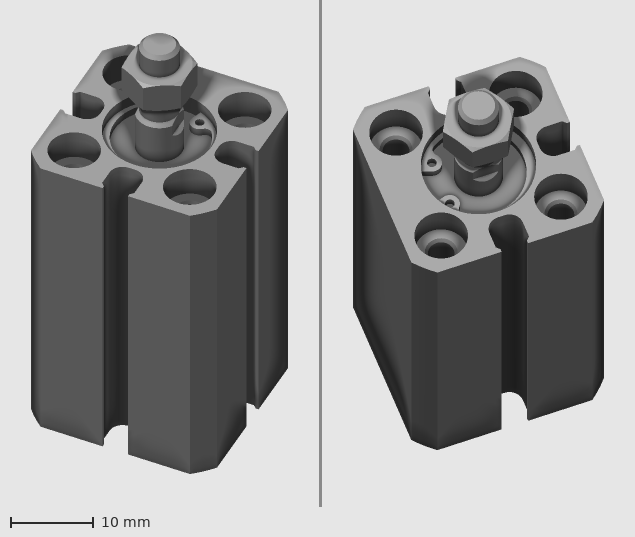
import cadquery as cq
import math

HOUSING_WIDTH = 25.0
HOUSING_HEIGHT = 42.0
CORNER_DIAMETER = 32.05

SLOT_DIRECTIONS = (180, 0, 270)
SLOT_WIDTH = 4.3
SLOT_MOUTH_WIDTH = 3.4
SLOT_DEPTH = 4.7
SLOT_LIP = 0.4
SLOT_BOTTOM_FILLET = 1.75

HOLE_PITCH = 15.5
HOLE_DIAMETER = 3.25
HOLE_CHAMFER_DIAMETER = 4.0
COUNTERBORE_DIAMETER = 6.5
COUNTERBORE_DEPTH = 4.0

RECESS_DIAMETER = 14.0
RECESS_DEPTH = 2.5
RING_THICKNESS = 1.0
RING_INNER_RADIUS = 6.2
RING_INNER_OFFSET = 0.4
RING_GAP_HALF_ANGLE = 20.0
EAR_X = 3.1
EAR_Y = 4.9
EAR_HOLE_DIAMETER = 1.2
EAR_RELIEF_RADIUS = 0.85

TOTAL_HEIGHT = 56.0
ROD_DIAMETER = 6.0
THREAD_DIAMETER = 5.0
THREAD_LENGTH = 10.5
THREAD_TIP_DIAMETER = 4.05
THREAD_TIP_CHAMFER = 0.5
FLAT_SPACING = 5.0
FLAT_LENGTH = 2.1

NUT_ACROSS_FLATS = 8.0
NUT_HEIGHT = 4.1
NUT_TOP_GAP = 3.2
NUT_CORNER_DROP = 0.3

HALF_WIDTH = HOUSING_WIDTH / 2
RECESS_FLOOR = HOUSING_HEIGHT - RECESS_DEPTH
RECESS_RADIUS = RECESS_DIAMETER / 2
ROD_RADIUS = ROD_DIAMETER / 2
THREAD_RADIUS = THREAD_DIAMETER / 2
SHOULDER_Z = TOTAL_HEIGHT - THREAD_LENGTH


def make_slot(direction):
    """Slot cutter with a narrow mouth, a bevel behind each lip and a rounded bottom."""
    bottom = HALF_WIDTH - SLOT_DEPTH
    lip_back = HALF_WIDTH - SLOT_LIP
    half_slot = SLOT_WIDTH / 2
    half_mouth = SLOT_MOUTH_WIDTH / 2
    bevel = half_slot - half_mouth
    slot = (
        cq.Workplane("XY")
        .polyline([
            (bottom, -half_slot),
            (lip_back - bevel, -half_slot),
            (lip_back, -half_mouth),
            (HALF_WIDTH, -half_mouth),
            (HALF_WIDTH, half_mouth),
            (lip_back, half_mouth),
            (lip_back - bevel, half_slot),
            (bottom, half_slot),
        ])
        .close()
        .extrude(HOUSING_HEIGHT)
        .edges("|Z and <X")
        .fillet(SLOT_BOTTOM_FILLET)
    )
    return slot.rotate((0, 0, 0), (0, 0, 1), direction)


def make_mounting_hole():
    """Cutter for a through hole with a 45 degree chamfer under its counterbore."""
    hole_radius = HOLE_DIAMETER / 2
    chamfer_radius = HOLE_CHAMFER_DIAMETER / 2
    counterbore_radius = COUNTERBORE_DIAMETER / 2
    counterbore_floor = HOUSING_HEIGHT - COUNTERBORE_DEPTH
    return (
        cq.Workplane("XZ")
        .polyline([
            (0, 0),
            (hole_radius, 0),
            (hole_radius, counterbore_floor - (chamfer_radius - hole_radius)),
            (chamfer_radius, counterbore_floor),
            (counterbore_radius, counterbore_floor),
            (counterbore_radius, HOUSING_HEIGHT),
            (0, HOUSING_HEIGHT),
        ])
        .close()
        .revolve(360, (0, 0), (0, 1))
    )


def mirrored(point):
    """The same point on the other side of the Y axis."""
    x, y = point
    return (-x, y)


def make_retaining_ring():
    """Open ring with two eared ends; its edge is a chain of tangent arcs."""
    gap_angle = math.radians(RING_GAP_HALF_ANGLE)
    gap_sine = math.sin(gap_angle)
    gap_cosine = math.cos(gap_angle)
    gap_end = (RECESS_RADIUS * gap_sine, RECESS_RADIUS * gap_cosine)

    ear_radius = EAR_X * gap_cosine - EAR_Y * gap_sine
    ear_along_gap = EAR_X * gap_sine + EAR_Y * gap_cosine
    ear_end = (ear_along_gap * gap_sine, ear_along_gap * gap_cosine)

    center_to_relief = RING_INNER_RADIUS - EAR_RELIEF_RADIUS
    ear_to_relief = ear_radius + EAR_RELIEF_RADIUS
    ear_rise = EAR_Y - RING_INNER_OFFSET
    center_to_ear = math.hypot(EAR_X, ear_rise)
    turn = math.acos(
        (center_to_relief**2 + center_to_ear**2 - ear_to_relief**2)
        / (2 * center_to_relief * center_to_ear)
    )
    relief_angle = math.atan2(ear_rise, EAR_X) - turn
    relief_x = center_to_relief * math.cos(relief_angle)
    relief_y = RING_INNER_OFFSET + center_to_relief * math.sin(relief_angle)
    relief_start = (
        RING_INNER_RADIUS * math.cos(relief_angle),
        RING_INNER_OFFSET + RING_INNER_RADIUS * math.sin(relief_angle),
    )
    ear_share = EAR_RELIEF_RADIUS / ear_to_relief
    ear_start = (
        relief_x + (EAR_X - relief_x) * ear_share,
        relief_y + (EAR_Y - relief_y) * ear_share,
    )

    ring = (
        cq.Workplane("XY", origin=(0, 0, RECESS_FLOOR))
        .moveTo(*gap_end)
        .threePointArc((0, -RECESS_RADIUS), mirrored(gap_end))
        .lineTo(*mirrored(ear_end))
        .tangentArcPoint(mirrored(ear_start), relative=False)
        .tangentArcPoint(mirrored(relief_start), relative=False)
        .threePointArc((0, RING_INNER_OFFSET - RING_INNER_RADIUS), relief_start)
        .tangentArcPoint(ear_start, relative=False)
        .tangentArcPoint(ear_end, relative=False)
        .close()
        .extrude(RING_THICKNESS)
    )
    ear_holes = (
        cq.Workplane("XY", origin=(0, 0, RECESS_FLOOR))
        .pushPoints([(-EAR_X, EAR_Y), (EAR_X, EAR_Y)])
        .circle(EAR_HOLE_DIAMETER / 2)
        .extrude(RING_THICKNESS)
    )
    return ring.cut(ear_holes)


def make_housing():
    """Cylinder housing, including the fixed retaining ring in its recess."""
    block = cq.Workplane("XY").rect(HOUSING_WIDTH, HOUSING_WIDTH).extrude(HOUSING_HEIGHT)
    corner_limit = cq.Workplane("XY").circle(CORNER_DIAMETER / 2).extrude(HOUSING_HEIGHT)
    body = block.intersect(corner_limit)

    for direction in SLOT_DIRECTIONS:
        body = body.cut(make_slot(direction))

    mounting_hole = make_mounting_hole()
    for x_side in (-1, 1):
        for y_side in (-1, 1):
            position = (x_side * HOLE_PITCH / 2, y_side * HOLE_PITCH / 2, 0)
            body = body.cut(mounting_hole.translate(position))

    recess = (
        cq.Workplane("XY", origin=(0, 0, RECESS_FLOOR))
        .circle(RECESS_RADIUS)
        .extrude(RECESS_DEPTH)
    )
    return body.cut(recess.cut(make_retaining_ring()))


def make_flat_cutter():
    """Cutter for the +X wrench flat, which runs out at 45 degrees at its lower end."""
    flat_x = FLAT_SPACING / 2
    flat_bottom = SHOULDER_Z - FLAT_LENGTH
    return (
        cq.Workplane("XZ")
        .polyline([
            (flat_x, SHOULDER_Z),
            (flat_x, flat_bottom),
            (ROD_RADIUS, flat_bottom - (ROD_RADIUS - flat_x)),
            (ROD_RADIUS, SHOULDER_Z),
        ])
        .close()
        .extrude(ROD_RADIUS, both=True)
    )


def make_rod():
    """Piston rod standing on the recess floor, with a plain cylinder for its thread."""
    rod = (
        cq.Workplane("XZ")
        .polyline([
            (0, RECESS_FLOOR),
            (ROD_RADIUS, RECESS_FLOOR),
            (ROD_RADIUS, SHOULDER_Z - (ROD_RADIUS - THREAD_RADIUS)),
            (THREAD_RADIUS, SHOULDER_Z),
            (THREAD_RADIUS, TOTAL_HEIGHT - THREAD_TIP_CHAMFER),
            (THREAD_TIP_DIAMETER / 2, TOTAL_HEIGHT),
            (0, TOTAL_HEIGHT),
        ])
        .close()
        .revolve(360, (0, 0), (0, 1))
    )
    flat_cutter = make_flat_cutter()
    return rod.cut(flat_cutter).cut(flat_cutter.mirror("YZ"))


def make_nut():
    """Hexagon nut with corners towards -Y and +Y, chamfered on both faces."""
    face_radius = NUT_ACROSS_FLATS / 2
    corner_radius = face_radius / math.cos(math.pi / 6)
    nut_bottom = TOTAL_HEIGHT - NUT_TOP_GAP - NUT_HEIGHT
    hexagon = (
        cq.Workplane("XY")
        .polygon(6, 2 * corner_radius)
        .extrude(NUT_HEIGHT)
        .rotate((0, 0, 0), (0, 0, 1), 90)
    )
    corner_limit = (
        cq.Workplane("XZ")
        .polyline([
            (0, 0),
            (face_radius, 0),
            (corner_radius, NUT_CORNER_DROP),
            (corner_radius, NUT_HEIGHT - NUT_CORNER_DROP),
            (face_radius, NUT_HEIGHT),
            (0, NUT_HEIGHT),
        ])
        .close()
        .revolve(360, (0, 0), (0, 1))
    )
    bore = cq.Workplane("XY").circle(THREAD_RADIUS).extrude(NUT_HEIGHT)
    return hexagon.intersect(corner_limit).cut(bore).translate((0, 0, nut_bottom))


housing = make_housing()
rod = make_rod()
nut = make_nut()

result = cq.Compound.makeCompound([housing.val(), rod.val(), nut.val()])